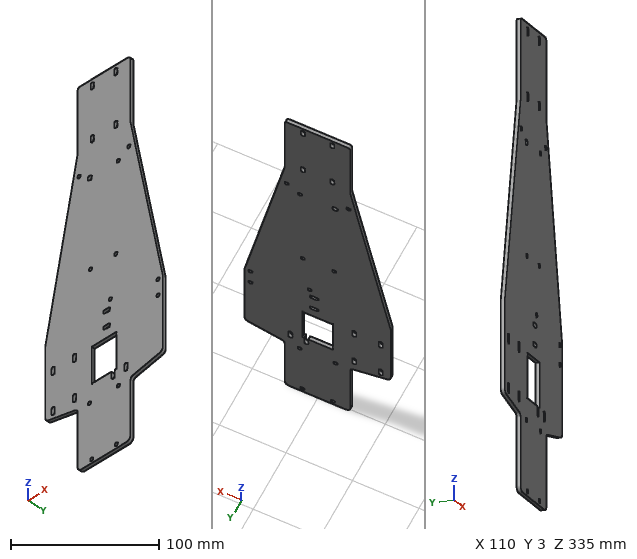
import cadquery as cq

length = 335.0
thickness = 3.0
body_half_width = 110.0 / 2
neck_half_width = 49.5 / 2
neck_base_z = 277.0
body_top_z = 125.75
body_bottom_z = 61.0
tail_top_z = 54.5
nose_corner_radius = 2.6
tail_corner_radius = 4.0
body_corner_radius = 4.0
tail_root_radius = 3.0

hole_diameter = 3.0
large_hole_diameter = 4.0
slot_width = 3.0
nose_slot_length = 6.0
cross_slot_length = 6.5
long_slot_length = 7.0

nose_side_holes = [(side * 23.25, 256.9) for side in (-1, 1)]
nose_small_hole = (13.25, 250.0)
nose_large_hole = (-13.25, 250.0)
middle_holes = [(x, 169.9) for x in (-12.5, 11.1)]
centre_hole = (6.0, 133.4)
side_z_levels = (125.4, 111.5)
side_x = 50.5
tail_upper_holes = [(side * 13.5, 53.5) for side in (-1, 1)]
tail_lower_holes = [(side * 11.5, 3.5) for side in (-1, 1)]

nose_slot_x = 11.0
nose_slot_z_levels = (329.1, 283.0)
cross_slot_x = 2.5
long_slot_left_x = (-47.5, -27.5)
long_slot_right_x = 20.5
long_slot_upper_z = 101.0
long_slot_lower_z = 66.0

window_half_width = 11.5
window_bottom_z = 69.5
window_top_z = 101.5
window_slot_x = 8.5
window_slot_bottom_z = long_slot_lower_z - long_slot_length / 2


def on_front(points):
    """Workplane on the front face (Y = 0) with the given (x, z) points selected."""
    return cq.Workplane("XZ").pushPoints(points)


def make_plate():
    """Flat plate with a narrow nose, a tapered body and a narrow tail."""
    right_side = [
        (neck_half_width, 0),
        (neck_half_width, tail_top_z),
        (body_half_width, body_bottom_z),
        (body_half_width, body_top_z),
        (neck_half_width, neck_base_z),
        (neck_half_width, length),
    ]
    left_side = [(-x, z) for x, z in reversed(right_side)]
    plate = cq.Workplane("XZ").polyline(right_side + left_side).close().extrude(-thickness)
    rounded_corners = [
        (neck_half_width, 0, tail_corner_radius),
        (neck_half_width, tail_top_z, tail_root_radius),
        (body_half_width, body_bottom_z, body_corner_radius),
        (neck_half_width, length, nose_corner_radius),
    ]
    for x, z, radius in rounded_corners:
        for side in (-1, 1):
            corner = cq.selectors.NearestToPointSelector((side * x, thickness / 2, z))
            plate = plate.edges("|Y").edges(corner).fillet(radius)
    return plate


def make_holes(points, diameter):
    """Round through holes at the given points."""
    return on_front(points).circle(diameter / 2).extrude(-thickness)


def make_slots(points, slot_length, angle):
    """Round-ended slots; an angle of 0 runs along X, 90 along Z."""
    return on_front(points).slot2D(slot_length, slot_width, angle).extrude(-thickness)


def make_window():
    """Rectangular opening on the centreline."""
    return (
        cq.Workplane("XZ")
        .moveTo(-window_half_width, window_bottom_z)
        .lineTo(window_half_width, window_bottom_z)
        .lineTo(window_half_width, window_top_z)
        .lineTo(-window_half_width, window_top_z)
        .close()
        .extrude(-thickness)
    )


def make_window_slot():
    """Slot with a round lower end, open into the bottom edge of the window."""
    left_x = window_slot_x - slot_width / 2
    right_x = window_slot_x + slot_width / 2
    round_end_z = window_slot_bottom_z + slot_width / 2
    return (
        cq.Workplane("XZ")
        .moveTo(left_x, window_bottom_z)
        .lineTo(left_x, round_end_z)
        .threePointArc((window_slot_x, window_slot_bottom_z), (right_x, round_end_z))
        .lineTo(right_x, window_bottom_z)
        .close()
        .extrude(-thickness)
    )


side_holes = [(side_x, z) for z in side_z_levels]
small_holes = (
    nose_side_holes
    + [nose_small_hole, centre_hole]
    + middle_holes
    + side_holes
    + tail_upper_holes
    + tail_lower_holes
)
nose_slots = [(side * nose_slot_x, z) for side in (-1, 1) for z in nose_slot_z_levels]
long_slots = [(x, long_slot_upper_z) for x in long_slot_left_x]
long_slots += [(x, long_slot_lower_z) for x in long_slot_left_x]
long_slots.append((long_slot_right_x, long_slot_lower_z))
cross_slots = [(cross_slot_x, z) for z in side_z_levels]

result = (
    make_plate()
    .cut(make_window())
    .cut(make_window_slot())
    .cut(make_holes(small_holes, hole_diameter))
    .cut(make_holes([nose_large_hole], large_hole_diameter))
    .cut(make_slots(nose_slots, nose_slot_length, 90))
    .cut(make_slots(long_slots, long_slot_length, 90))
    .cut(make_slots(cross_slots, cross_slot_length, 0))
)